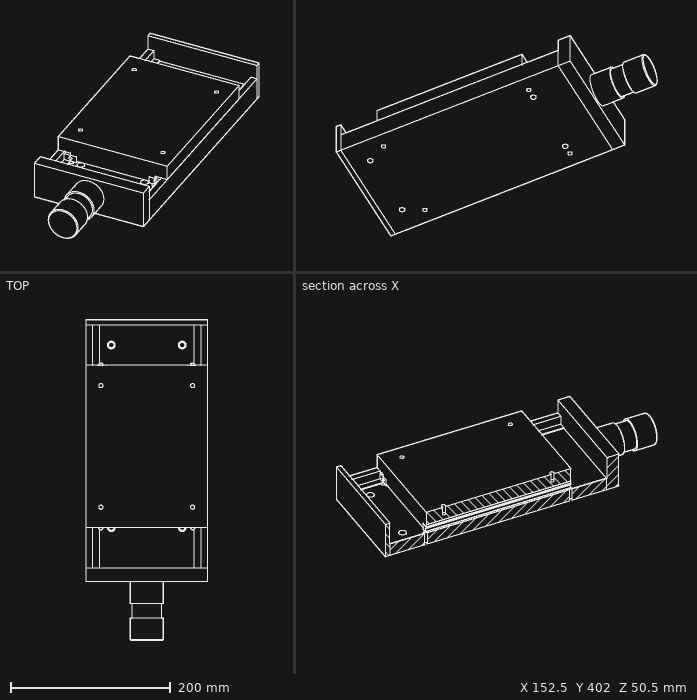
import cadquery as cq
import math


WIDTH = 152.5
HEIGHT = 50.5
TOTAL_LENGTH = 402.0

BASE_LENGTH = 304.5
BASE_HEIGHT = 30.5
WALL_THICKNESS = 8.5
LEDGE_DEPTH = 12.0
FLOOR_STEP = 1.2

REAR_PLATE_THICKNESS = 6.5
FRONT_PLATE_THICKNESS = 17.0

RAIL_WIDTH = 8.5
RAIL_TOP_DEPTH = 3.2
GROOVE_DEPTH = 2.5

TABLE_LENGTH = 203.5
STEM_DEPTH = 9.5

MOUNT_PITCH_X = 89.0
MOUNT_REAR_INSET = 25.5
MOUNT_PITCH_Y = 228.7
MOUNT_DIAMETER = 7.0
COUNTERBORE_DIAMETER = 9.5
COUNTERBORE_DEPTH = 8.0

SMALL_HOLE_DIAMETER = 5.2
SMALL_PITCH_X = 115.0
BASE_SMALL_PITCH_Y = 203.5
TABLE_SMALL_PITCH_Y = 152.5
TABLE_HOLE_DEPTH = 12.0
DRILL_POINT_ANGLE = 118.0

MOTOR_DIAMETER = 42.0
WAIST_DIAMETER = 37.5
WAIST_START = 27.7
WAIST_LENGTH = 18.0
MOTOR_CHAMFER = 1.2

LEDGE_Z = BASE_HEIGHT - LEDGE_DEPTH
FLOOR_Z = LEDGE_Z - FLOOR_STEP
RAIL_TOP_Z = BASE_HEIGHT - RAIL_TOP_DEPTH
CHANNEL_HALF_WIDTH = WIDTH / 2 - WALL_THICKNESS
RAIL_MEETING_X = CHANNEL_HALF_WIDTH - RAIL_WIDTH
STEM_X = RAIL_MEETING_X - RAIL_WIDTH
BASE_FRONT_Y = -BASE_LENGTH / 2
BASE_REAR_Y = BASE_LENGTH / 2
MOTOR_LENGTH = TOTAL_LENGTH - BASE_LENGTH - REAR_PLATE_THICKNESS - FRONT_PLATE_THICKNESS


def block(width, length, bottom_z, top_z):
    """Box centred on X = 0 and Y = 0 between two heights."""
    box = cq.Workplane("XY").box(width, length, top_z - bottom_z, centered=(True, True, False))
    return box.translate((0, 0, bottom_z))


def make_base():
    body = block(WIDTH, BASE_LENGTH, 0, BASE_HEIGHT)
    body = body.cut(block(2 * CHANNEL_HALF_WIDTH, BASE_LENGTH, LEDGE_Z, BASE_HEIGHT))
    body = body.cut(block(2 * RAIL_MEETING_X, BASE_LENGTH, FLOOR_Z, LEDGE_Z))

    mount_centre_y = BASE_REAR_Y - MOUNT_REAR_INSET - MOUNT_PITCH_Y / 2
    mount_points = cq.Workplane("XY", origin=(0, mount_centre_y, FLOOR_Z)).rarray(
        MOUNT_PITCH_X, MOUNT_PITCH_Y, 2, 2
    )
    body = body.cut(mount_points.circle(MOUNT_DIAMETER / 2).extrude(-FLOOR_Z))
    body = body.cut(mount_points.circle(COUNTERBORE_DIAMETER / 2).extrude(-COUNTERBORE_DEPTH))

    small_holes = (
        cq.Workplane("XY")
        .rarray(SMALL_PITCH_X, BASE_SMALL_PITCH_Y, 2, 2)
        .circle(SMALL_HOLE_DIAMETER / 2)
        .extrude(LEDGE_Z)
    )
    return body.cut(small_holes)


def make_end_plate(thickness, centre_y):
    return block(WIDTH, thickness, 0, HEIGHT).translate((0, centre_y, 0))


def make_rail(centre_x, meeting_x):
    """Rail with a V groove along its side at meeting_x."""
    body = block(RAIL_WIDTH, TABLE_LENGTH, LEDGE_Z, RAIL_TOP_Z).translate((centre_x, 0, 0))
    groove_z = (LEDGE_Z + RAIL_TOP_Z) / 2
    groove_outline = [
        (meeting_x - GROOVE_DEPTH, groove_z),
        (meeting_x, groove_z + GROOVE_DEPTH),
        (meeting_x + GROOVE_DEPTH, groove_z),
        (meeting_x, groove_z - GROOVE_DEPTH),
    ]
    groove = cq.Workplane("XZ").polyline(groove_outline).close().extrude(TABLE_LENGTH / 2, both=True)
    return body.cut(groove)


def make_table():
    body = block(WIDTH, TABLE_LENGTH, BASE_HEIGHT, HEIGHT)
    body = body.union(block(2 * RAIL_MEETING_X, TABLE_LENGTH, RAIL_TOP_Z, BASE_HEIGHT))
    body = body.union(block(2 * STEM_X, TABLE_LENGTH, BASE_HEIGHT - STEM_DEPTH, RAIL_TOP_Z))

    radius = SMALL_HOLE_DIAMETER / 2
    point_length = radius / math.tan(math.radians(DRILL_POINT_ANGLE / 2))
    drill_outline = [
        (0, 0),
        (radius, 0),
        (radius, -TABLE_HOLE_DEPTH),
        (0, -TABLE_HOLE_DEPTH - point_length),
    ]
    drill = cq.Workplane("XZ").polyline(drill_outline).close().revolve(360, (0, 0), (0, 1)).val()
    drills = (
        cq.Workplane("XY", origin=(0, 0, HEIGHT))
        .rarray(SMALL_PITCH_X, TABLE_SMALL_PITCH_Y, 2, 2)
        .eachpoint(drill)
    )
    return body.cut(drills)


def make_motor():
    radius = MOTOR_DIAMETER / 2
    waist_radius = WAIST_DIAMETER / 2
    waist_end = WAIST_START + WAIST_LENGTH
    outline = [
        (0, 0),
        (-radius, 0),
        (-radius, -WAIST_START),
        (-waist_radius, -WAIST_START),
        (-waist_radius, -waist_end),
        (-radius, -waist_end),
        (-radius, MOTOR_CHAMFER - MOTOR_LENGTH),
        (MOTOR_CHAMFER - radius, -MOTOR_LENGTH),
        (0, -MOTOR_LENGTH),
    ]
    body = cq.Workplane("XY").polyline(outline).close().revolve(360, (0, 0), (0, 1))
    return body.translate((0, BASE_FRONT_Y - FRONT_PLATE_THICKNESS, HEIGHT / 2))


base = make_base()
rear_plate = make_end_plate(REAR_PLATE_THICKNESS, BASE_REAR_Y + REAR_PLATE_THICKNESS / 2)
front_plate = make_end_plate(FRONT_PLATE_THICKNESS, BASE_FRONT_Y - FRONT_PLATE_THICKNESS / 2)
table = make_table()
motor = make_motor()

fixed_rails = []
moving_rails = []
for side in (-1, 1):
    meeting_x = side * RAIL_MEETING_X
    half_rail = side * RAIL_WIDTH / 2
    fixed_rails.append(make_rail(meeting_x + half_rail, meeting_x).val())
    moving_rails.append(make_rail(meeting_x - half_rail, meeting_x).val())

result = cq.Compound.makeCompound(
    [
        base.val(),
        rear_plate.val(),
        front_plate.val(),
        table.val(),
        motor.val(),
        *fixed_rails,
        *moving_rails,
    ]
)